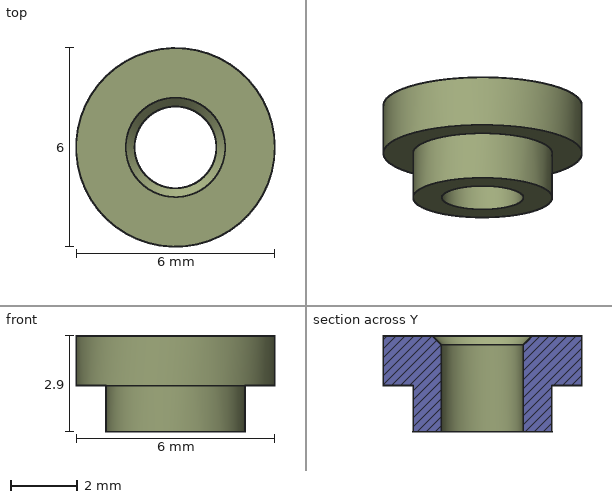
import cadquery as cq

flange_diameter = 6.0
flange_thickness = 1.5
sleeve_diameter = 4.2
total_height = 2.9
sleeve_length = total_height - flange_thickness
bore_diameter = 2.46
bore_mouth_diameter = 3.0
bore_chamfer = (bore_mouth_diameter - bore_diameter) / 2

sleeve = cq.Workplane("XY").circle(sleeve_diameter / 2).extrude(sleeve_length)

flange = (
    cq.Workplane("XY")
    .workplane(offset=sleeve_length)
    .circle(flange_diameter / 2)
    .extrude(flange_thickness)
)

bored = sleeve.union(flange).faces(">Z").workplane().hole(bore_diameter)
result = bored.faces(">Z").edges(cq.selectors.RadiusNthSelector(0)).chamfer(bore_chamfer)